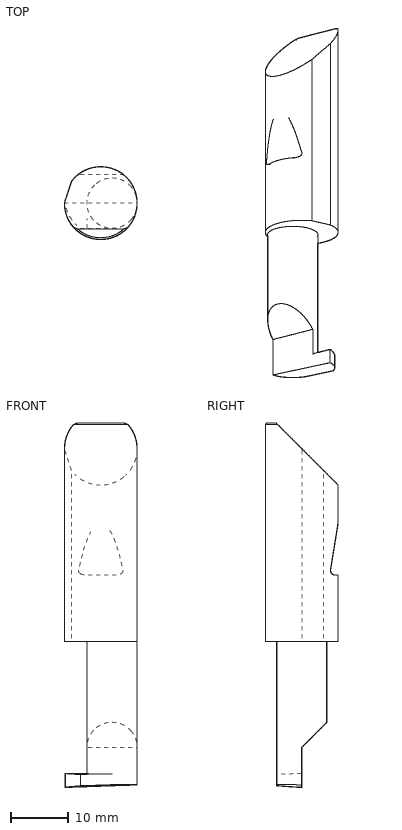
import cadquery as cq
import math

total_length = 63.5
shank_radius = 6.35
shank_bottom = 25.4
top_chamfer = 0.3
bevel_start_y = -4.5
flat_end_y = 3.75

notch_top = 46.05
notch_bottom = 37.0
notch_depth = 1.45
notch_corner_radius = 0.75

neck_radius = 4.4
neck_center_x = shank_radius - neck_radius
relief_bottom = 7.0

tip_x = -6.2
head_front_x = -3.55
head_nose_radius = 6.65
tip_height = 2.5
shoulder_height = 2.35
clearance_angle = 2.7
end_angle = 2.0

oversize = 2 * shank_radius


def extrude_along_x(points):
    """Prism of a (Y, Z) outline, reaching past both sides of the part."""
    return cq.Workplane("YZ").polyline(points).close().extrude(oversize, both=True)


def make_shank():
    flat_end_x = -math.sqrt(shank_radius**2 - flat_end_y**2)
    shank = (
        cq.Workplane("XY", origin=(0, 0, shank_bottom))
        .circle(shank_radius)
        .extrude(total_length - shank_bottom)
        .faces(">Z")
        .chamfer(top_chamfer)
    )
    side_flat = (
        cq.Workplane("XY")
        .polyline([
            (-shank_radius, 0),
            (flat_end_x, flat_end_y),
            (flat_end_x - oversize, flat_end_y),
            (-shank_radius - oversize, 0),
        ])
        .close()
        .extrude(total_length)
    )
    bevel_end_y = bevel_start_y + oversize
    bevel = extrude_along_x([
        (bevel_start_y, total_length),
        (bevel_end_y, total_length - oversize),
        (bevel_end_y, total_length),
    ])
    return shank.cut(side_flat).cut(bevel).cut(make_notch())


def make_notch():
    floor_y = shank_radius - notch_depth
    slope = notch_depth / (notch_top - notch_bottom)
    outer_y = shank_radius + notch_depth
    outer_top = notch_top + notch_depth / slope
    notch = extrude_along_x([
        (floor_y, notch_bottom),
        (outer_y, notch_bottom),
        (outer_y, outer_top),
    ])
    return notch.edges("<Y").fillet(notch_corner_radius)


def make_head():
    chord_x = head_front_x - tip_x
    chord_y = -neck_radius
    chord = math.hypot(chord_x, chord_y)
    bulge = head_nose_radius - math.sqrt(head_nose_radius**2 - (chord / 2) ** 2)
    nose_middle = (
        tip_x + chord_x / 2 + bulge * chord_y / chord,
        chord_y / 2 - bulge * chord_x / chord,
    )
    head = (
        cq.Workplane("XY")
        .moveTo(tip_x, 0)
        .threePointArc(nose_middle, (head_front_x, -neck_radius))
        .lineTo(neck_center_x, -neck_radius)
        .lineTo(neck_center_x, 0)
        .close()
        .extrude(tip_height)
    )
    fall = oversize * math.tan(math.radians(clearance_angle))
    sloped_top = extrude_along_x([
        (0, tip_height),
        (-oversize, tip_height - fall),
        (-oversize, tip_height),
    ])
    neck_left_x = neck_center_x - neck_radius
    shoulder = (
        cq.Workplane("XY")
        .moveTo(neck_left_x, 0)
        .lineTo(neck_left_x, -neck_radius)
        .lineTo(neck_center_x, -neck_radius)
        .lineTo(neck_center_x, 0)
        .close()
        .extrude(shoulder_height)
    )
    return head.cut(sloped_top).union(shoulder)


def make_neck():
    neck = cq.Workplane("XY").center(neck_center_x, 0).circle(neck_radius).extrude(shank_bottom)
    half_cut = extrude_along_x([
        (0, 0),
        (0, relief_bottom),
        (oversize, relief_bottom + oversize),
        (oversize, 0),
    ])
    return neck.cut(half_cut)


def make_underside_cutter():
    """Block below a plane through the tip that rises toward +X and toward -Y."""
    size = 4 * oversize
    return (
        cq.Workplane("XY")
        .box(size, size, oversize, centered=(True, True, False))
        .translate((0, 0, -oversize))
        .rotate((0, 0, 0), (1, 0, 0), -clearance_angle)
        .rotate((0, 0, 0), (0, 1, 0), -end_angle)
        .translate((tip_x, 0, 0))
    )


lower_part = make_neck().union(make_head()).cut(make_underside_cutter())
result = make_shank().union(lower_part)